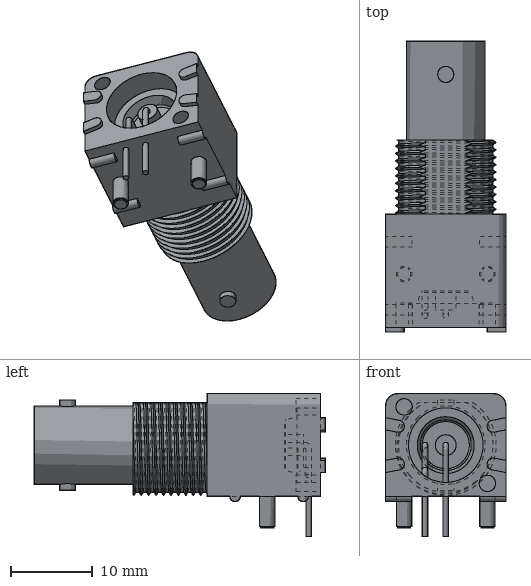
import cadquery as cq


HOUSING_WIDTH = 14.7
HOUSING_LENGTH = 13.85
HOUSING_TOP = 6.3
HOUSING_BOTTOM = -6.25
TOP_CORNER_RADIUS = 1.5
REAR = -HOUSING_LENGTH
HALF_WIDTH = HOUSING_WIDTH / 2

BUSHING_LENGTH = 9.05
THREAD_ROOT_RADIUS = 5.76
THREAD_CREST_RADIUS = 6.15
THREAD_PITCH = 25.4 / 28
THREAD_BASE_WIDTH = 0.62
THREAD_START = BUSHING_LENGTH + 0.59
THREAD_ROOT_OVERLAP = 0.1
BUSHING_FLAT_HEIGHT = 5.19
OVERALL_LENGTH = 35.5
LUG_HEIGHT = 0.55
BARREL_RADIUS = 4.8
BARREL_TIP = OVERALL_LENGTH - HOUSING_LENGTH - LUG_HEIGHT
BAYONET_DIAMETER = 1.96
BAYONET_SPAN = 11.05
BAYONET_SETBACK = 4.07

BORE_RADIUS = 4.55
BORE_DEPTH = 2.92
CONE_MOUTH_RADIUS = 3.47
CONE_END_RADIUS = 3.1
CONE_END_DEPTH = 4.27
FLOOR_RADIUS = 2.88
FLOOR_DEPTH = 4.45
INSULATOR_RADIUS = 1.27
INSULATOR_FACE_DEPTH = 2.12

REAR_HOLE_DIAMETER = 2.0
REAR_HOLE_X = 5.08
REAR_HOLE_Z = 4.67
REAR_HOLE_DEPTH = 3.0

LUG_END_RADIUS = 0.73
LUG_END_X = 5.05
LUG_CENTRE_Z = 2.3
LUG_TILT = 11.0

GRID = 2.54
OVERALL_HEIGHT = 17.46
TAIL_RADIUS = 0.35
TAIL_DEPTH = 1.45
TAIL_Y = REAR + TAIL_DEPTH
TAIL_START_Y = REAR + FLOOR_DEPTH + TAIL_RADIUS
TAIL_BOTTOM = HOUSING_TOP - OVERALL_HEIGHT
SIGNAL_BEND_RADIUS = 0.56
GROUND_BEND_RADIUS = 0.37
GROUND_UPPER_DEPTH = 2.45
JOGGLE_Z = -3.05

POST_RADIUS = 0.95
POST_X = 2 * GRID
POST_Y = TAIL_Y + 2 * GRID
POST_BOTTOM = -10.1
POST_TIP_LENGTH = 0.2
POST_TIP_RADIUS = 0.8
FOOT_RADIUS = 0.65
FOOT_INNER_X = POST_X - POST_RADIUS
FOOT_Y_POSITIONS = (-3.4, -11.7)


def cylinder_y(radius, y_start, y_end, x=0, z=0):
    axis = cq.Vector(0, 1, 0)
    return cq.Workplane(cq.Solid.makeCylinder(radius, y_end - y_start, cq.Vector(x, y_start, z), axis))


def cylinder_z(radius, z_start, z_end, x=0, y=0):
    axis = cq.Vector(0, 0, 1)
    return cq.Workplane(cq.Solid.makeCylinder(radius, z_end - z_start, cq.Vector(x, y, z_start), axis))


def make_housing():
    height = HOUSING_TOP - HOUSING_BOTTOM
    block = cq.Workplane("XY").box(HOUSING_WIDTH, HOUSING_LENGTH, height, centered=(True, False, False))
    block = block.translate((0, REAR, HOUSING_BOTTOM))
    return block.edges("|Y and >Z").fillet(TOP_CORNER_RADIUS)


def make_bushing():
    """Bushing with a right-hand external thread and one flat on top."""
    overrun = THREAD_START - BUSHING_LENGTH
    helix = cq.Wire.makeHelix(THREAD_PITCH, BUSHING_LENGTH + 2 * overrun, THREAD_ROOT_RADIUS)
    half_base = THREAD_BASE_WIDTH / 2
    base_radius = THREAD_ROOT_RADIUS - THREAD_ROOT_OVERLAP
    ridge = (
        cq.Workplane("XZ")
        .polyline([(base_radius, -half_base), (THREAD_CREST_RADIUS, 0), (base_radius, half_base)])
        .close()
        .sweep(cq.Workplane(helix), isFrenet=True)
    )
    ridge = ridge.rotate((0, 0, 0), (1, 0, 0), 90).translate((0, THREAD_START, 0))
    envelope = (
        cq.Workplane("XY")
        .box(HOUSING_WIDTH, BUSHING_LENGTH, HOUSING_WIDTH, centered=(True, False, False))
        .translate((0, 0, BUSHING_FLAT_HEIGHT - HOUSING_WIDTH))
    )
    core = cylinder_y(THREAD_ROOT_RADIUS, -2 * overrun, THREAD_START + overrun)
    return core.union(ridge).intersect(envelope)


def make_barrel():
    barrel = cylinder_y(BARREL_RADIUS, BUSHING_LENGTH, BARREL_TIP)
    half_span = BAYONET_SPAN / 2
    bayonet = cylinder_z(BAYONET_DIAMETER / 2, -half_span, half_span, y=BARREL_TIP - BAYONET_SETBACK)
    return barrel.union(bayonet)


def make_cavity():
    """Stepped and tapered rear cavity around the insulator, revolved about the Y axis."""
    return (
        cq.Workplane("XY")
        .polyline([
            (0, REAR),
            (BORE_RADIUS, REAR),
            (BORE_RADIUS, REAR + BORE_DEPTH),
            (CONE_MOUTH_RADIUS, REAR + BORE_DEPTH),
            (CONE_END_RADIUS, REAR + CONE_END_DEPTH),
            (FLOOR_RADIUS, REAR + FLOOR_DEPTH),
            (INSULATOR_RADIUS, REAR + FLOOR_DEPTH),
            (INSULATOR_RADIUS, REAR + INSULATOR_FACE_DEPTH),
            (0, REAR + INSULATOR_FACE_DEPTH),
        ])
        .close()
        .revolve(360, (0, 0, 0), (0, 1, 0))
    )


def make_rear_holes():
    holes = cq.Workplane("XY")
    for side in (-1, 1):
        x = side * REAR_HOLE_X
        z = -side * REAR_HOLE_Z
        holes = holes.union(cylinder_y(REAR_HOLE_DIAMETER / 2, REAR, REAR + REAR_HOLE_DEPTH, x, z))
    return holes


def make_lug():
    """Upper +X lug: straight sides, round inner end, cut off flush with the housing side."""
    centre_x = LUG_END_X + LUG_END_RADIUS
    lug = (
        cq.Workplane("XZ")
        .moveTo(HALF_WIDTH, -LUG_END_RADIUS)
        .lineTo(0, -LUG_END_RADIUS)
        .threePointArc((-LUG_END_RADIUS, 0), (0, LUG_END_RADIUS))
        .lineTo(HALF_WIDTH, LUG_END_RADIUS)
        .close()
        .extrude(LUG_HEIGHT)
        .rotate((0, 0, 0), (0, 1, 0), -LUG_TILT)
        .translate((centre_x, REAR, LUG_CENTRE_Z))
    )
    limit = cq.Workplane("XY").box(HOUSING_WIDTH, 2 * OVERALL_LENGTH, HOUSING_WIDTH)
    return lug.intersect(limit)


def make_lugs():
    right_pair = make_lug().union(make_lug().mirror("XY"))
    return right_pair.union(right_pair.mirror("YZ"))


def make_tail(x, centreline):
    """Round wire that starts on the connector axis level and follows a bent centreline."""
    start_section = cq.Workplane("XZ", origin=(x, TAIL_START_Y, 0)).circle(TAIL_RADIUS)
    return start_section.sweep(centreline)


def make_tails():
    """Signal tail with one bend, ground tail with a bend and a joggle toward the rear."""
    signal_path = (
        cq.Workplane("YZ")
        .moveTo(TAIL_START_Y, 0)
        .lineTo(TAIL_Y + SIGNAL_BEND_RADIUS, 0)
        .tangentArcPoint((-SIGNAL_BEND_RADIUS, -SIGNAL_BEND_RADIUS))
        .lineTo(TAIL_Y, TAIL_BOTTOM)
    )
    bend = GROUND_BEND_RADIUS
    upper_y = REAR + GROUND_UPPER_DEPTH
    ground_path = (
        cq.Workplane("YZ", origin=(-GRID, 0, 0))
        .moveTo(TAIL_START_Y, 0)
        .lineTo(upper_y + bend, 0)
        .tangentArcPoint((-bend, -bend))
        .lineTo(upper_y, JOGGLE_Z + bend)
        .tangentArcPoint((-bend, -bend))
        .lineTo(TAIL_Y + bend, JOGGLE_Z)
        .tangentArcPoint((-bend, -bend))
        .lineTo(TAIL_Y, TAIL_BOTTOM)
    )
    return make_tail(0, signal_path).union(make_tail(-GRID, ground_path))


def make_posts():
    posts = cq.Workplane("XY")
    shoulder = POST_BOTTOM + POST_TIP_LENGTH
    for x in (-POST_X, POST_X):
        posts = posts.union(cylinder_z(POST_RADIUS, shoulder, HOUSING_BOTTOM, x, POST_Y))
        posts = posts.union(cylinder_z(POST_TIP_RADIUS, POST_BOTTOM, shoulder, x, POST_Y))
    return posts


def make_feet():
    """Half-round feet running inward from both housing sides."""
    foot = (
        cq.Workplane("YZ")
        .moveTo(-FOOT_RADIUS, HOUSING_BOTTOM)
        .threePointArc((0, HOUSING_BOTTOM - FOOT_RADIUS), (FOOT_RADIUS, HOUSING_BOTTOM))
        .close()
        .extrude(HALF_WIDTH - FOOT_INNER_X)
    )
    feet = cq.Workplane("XY")
    for y in FOOT_Y_POSITIONS:
        for x in (-HALF_WIDTH, FOOT_INNER_X):
            feet = feet.union(foot.translate((x, y, 0)))
    return feet


housing = make_housing().cut(make_cavity()).cut(make_rear_holes())
result = (
    housing.union(make_bushing())
    .union(make_barrel())
    .union(make_lugs())
    .union(make_tails())
    .union(make_posts())
    .union(make_feet())
)